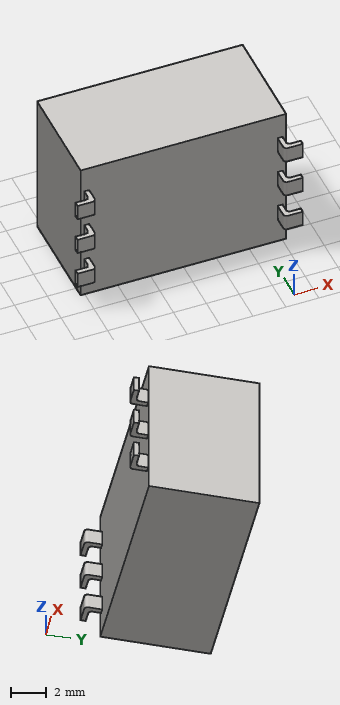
import cadquery as cq

body_length = 12.5
body_depth = 6.35
body_height = 9.35

lead_span = 13.7
lead_standoff = 1.0
lead_width = 1.0
lead_pitch = 2.53
lead_thickness = 0.3
foot_length = 1.12
bend_radius = 0.2
leads_per_side = 3

foot_tip_x = lead_span / 2
shank_inner_x = foot_tip_x - foot_length
shank_outer_x = shank_inner_x + lead_thickness
foot_bottom_y = -lead_standoff
foot_top_y = foot_bottom_y + lead_thickness


def make_body():
    """Plain block with its lead face on Y = 0."""
    return cq.Workplane("XY").box(
        body_length, body_depth, body_height, centered=(True, False, True)
    )


def make_lead(z_center):
    """L-shaped lead on the +X side, centred at the given height."""
    profile = (
        cq.Workplane("XY", origin=(0, 0, z_center))
        .moveTo(shank_inner_x, 0)
        .lineTo(shank_inner_x, foot_bottom_y)
        .lineTo(foot_tip_x, foot_bottom_y)
        .lineTo(foot_tip_x, foot_top_y)
        .lineTo(shank_outer_x, foot_top_y)
        .lineTo(shank_outer_x, 0)
        .close()
    )
    lead = profile.extrude(lead_width / 2, both=True)
    outer_corner = cq.selectors.NearestToPointSelector((shank_inner_x, foot_bottom_y, z_center))
    inner_corner = cq.selectors.NearestToPointSelector((shank_outer_x, foot_top_y, z_center))
    lead = lead.edges(outer_corner).fillet(bend_radius)
    return lead.edges(inner_corner).fillet(bend_radius)


result = make_body()
for index in range(leads_per_side):
    lead_z = (index - (leads_per_side - 1) / 2) * lead_pitch
    right_lead = make_lead(lead_z)
    result = result.union(right_lead).union(right_lead.mirror("YZ"))